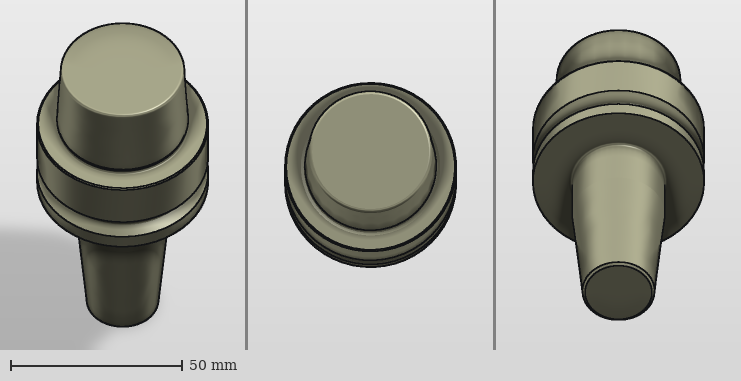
import cadquery as cq
import math

total_height = 104.9

flange_diameter = 50.0
flange_radius = flange_diameter / 2
flange_bottom = 54.1
flange_top = 80.1
flange_edge = 0.4
groove_bottom = 58.6
groove_top = 65.2
groove_floor_radius = 21.7
groove_wall_slope = math.radians(30)
groove_corner_radius = 0.6

shank_radius = 13.5
shank_taper_start = 38.1
shank_tip_radius = 10.5
shank_tip_chamfer = 0.7
shank_root_fillet = 1.2

plug_base_radius = 19.2
plug_base_height = 82.1
plug_top_radius = 18.0
plug_top_fillet = 1.0
neck_radius = 18.7
neck_fillet = 0.8
recess_radius = 20.4
recess_depth = 0.1

groove_wall_rise = (flange_radius - groove_floor_radius) * math.tan(groove_wall_slope)
recess_floor = flange_top - recess_depth
neck_top = recess_floor + neck_fillet
arc_inset = 1 - math.sqrt(0.5)


def ring_edges(body, radius, height):
    """Select the circular edges centred on Z with this radius and height."""
    tolerance = 0.01
    corner = (radius + tolerance, radius + tolerance, height + tolerance)
    opposite = (-radius - tolerance, -radius - tolerance, height - tolerance)
    edges = body.edges(cq.selectors.BoxSelector(opposite, corner, boundingbox=True))
    return edges.filter(lambda e: e.geomType() == "CIRCLE" and abs(e.radius() - radius) < tolerance)


def turned_body():
    """Revolve the half profile, given as radius and height, about Z."""
    return (
        cq.Workplane("XZ")
        .moveTo(0, 0)
        .lineTo(shank_tip_radius, 0)
        .lineTo(shank_radius, shank_taper_start)
        .lineTo(shank_radius, flange_bottom)
        .lineTo(flange_radius, flange_bottom)
        .lineTo(flange_radius, groove_bottom)
        .lineTo(groove_floor_radius, groove_bottom + groove_wall_rise)
        .lineTo(groove_floor_radius, groove_top - groove_wall_rise)
        .lineTo(flange_radius, groove_top)
        .lineTo(flange_radius, flange_top)
        .lineTo(recess_radius, flange_top)
        .lineTo(neck_radius + neck_fillet, recess_floor)
        .threePointArc(
            (neck_radius + arc_inset * neck_fillet, recess_floor + arc_inset * neck_fillet),
            (neck_radius, neck_top),
        )
        .lineTo(plug_base_radius, plug_base_height)
        .lineTo(plug_top_radius, total_height)
        .lineTo(0, total_height)
        .close()
        .revolve(360, (0, 0, 0), (0, 1, 0))
    )


body = turned_body()
body = ring_edges(body, shank_tip_radius, 0).chamfer(shank_tip_chamfer)
body = ring_edges(body, shank_radius, flange_bottom).fillet(shank_root_fillet)
for corner_height in (groove_bottom + groove_wall_rise, groove_top - groove_wall_rise):
    body = ring_edges(body, groove_floor_radius, corner_height).fillet(groove_corner_radius)
body = ring_edges(body, flange_radius, flange_top).chamfer(flange_edge)
result = ring_edges(body, plug_top_radius, total_height).fillet(plug_top_fillet)